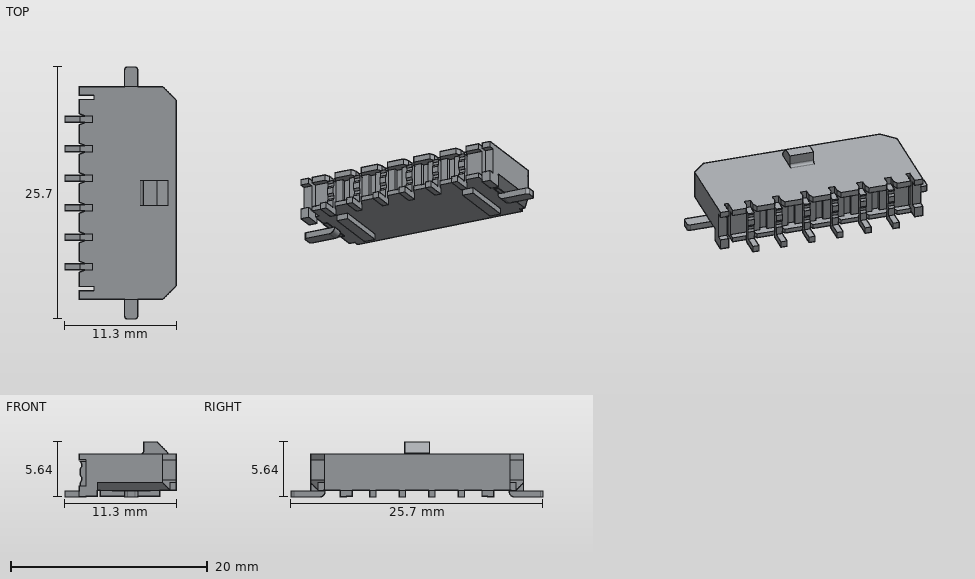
import cadquery as cq


body_length = 9.9
body_width = 21.65
body_bottom = 0.69
body_top = 4.40
half_width = body_width / 2
corner_cut = 1.4
edge_bevel = 0.79

lip_thickness = 0.6
recess_top = body_top - lip_thickness
recess_bottom = 1.16
recess_depth = 0.7
foot_width = 0.9
foot_length = 1.86
foot_bottom = 0.08

side_slot_width = 0.4
side_slot_depth = 1.5
side_slot_step = 0.1
side_slot_step_bottom = 2.78
side_slot_slope_bottom = 3.48

pin_count = 6
pin_pitch = 3.0
pin_size = 0.65
pin_reach = 1.45
pin_top = 3.64
pin_face = 0.1
pin_depth = 1.35
pin_foot_end = 0.7
groove_bottoms = (1.47, 2.87)
groove_height = 0.78
groove_depth = 0.15
groove_slope = 0.24
notch_half_mouth = 0.57
notch_depth = 0.6
panel_width = 0.77
panel_depth = 0.4

latch_start = 6.56
latch_width = 2.55
latch_top = 5.64
latch_flat = 1.36
latch_length = 2.48
latch_fillet = 0.3

overall_width = 25.65
tab_start = 4.62
tab_width = 1.35
tab_thickness = 0.65
tab_corner_radius = 0.3
tab_inner_end = 9.35
tab_bend_radius = 0.6
pad_start = 3.38
pad_length = 3.82
pad_thickness = 0.07
pad_inner_end = 9.55
rib_start = 2.15
rib_length = 6.07
rib_width = 1.2
rib_inner_end = 6.58

pocket_bottom = 1.77
floor_pocket_length = 0.63

pin_positions = [(i - (pin_count - 1) / 2) * pin_pitch for i in range(pin_count)]


def block(x0, x1, y0, y1, z0, z1):
    return cq.Workplane("XY").box(x1 - x0, y1 - y0, z1 - z0, centered=False).translate((x0, y0, z0))


def extrude_along_y(points, y0, y1):
    """Prism from an (x, z) outline spanning y0 to y1."""
    return cq.Workplane("XZ", origin=(0, y1, 0)).polyline(points).close().extrude(y1 - y0)


def both_ends(shape):
    """The shape together with its mirror image across Y = 0."""
    return shape.union(shape.mirror("XZ"))


def make_shell():
    shell = block(0, body_length, -half_width, half_width, body_bottom, body_top)
    shell = shell.edges("|Z and >X").chamfer(corner_cut)
    bevel = (
        cq.Workplane("YZ")
        .polyline(
            [
                (half_width, body_bottom),
                (half_width, body_bottom + edge_bevel),
                (half_width - edge_bevel, body_bottom),
            ]
        )
        .close()
        .extrude(body_length)
    )
    return shell.cut(both_ends(bevel))


def make_feet():
    foot = block(0, foot_length, half_width - foot_width, half_width, foot_bottom, recess_bottom)
    wall = block(0, foot_length, half_width - foot_width, half_width, recess_bottom, recess_top)
    return both_ends(foot.union(wall))


def cut_rear_recess(body):
    return body.cut(block(0, recess_depth, -half_width, half_width, recess_bottom, recess_top))


def make_side_slots():
    outer = half_width - foot_width
    inner = outer - side_slot_width
    slot = block(0, side_slot_depth, inner, outer, body_bottom, body_top)
    step_back = side_slot_depth + side_slot_step
    slope_run = recess_top - side_slot_slope_bottom
    stepped_back = extrude_along_y(
        [
            (side_slot_depth, side_slot_step_bottom),
            (step_back, side_slot_step_bottom),
            (step_back, side_slot_slope_bottom),
            (step_back + slope_run, recess_top),
            (side_slot_depth, recess_top),
        ],
        inner,
        outer,
    )
    return both_ends(slot.union(stepped_back))


def make_pin_notch(y):
    """Flared notch through both lips, with a straight slot above the pin."""
    half_pin = pin_size / 2
    flare = (
        cq.Workplane("XY", origin=(0, y, body_bottom))
        .polyline(
            [
                (0, -notch_half_mouth),
                (notch_depth, -half_pin),
                (notch_depth, half_pin),
                (0, notch_half_mouth),
            ]
        )
        .close()
        .extrude(body_top - body_bottom)
    )
    slot = block(0, pin_depth, y - half_pin, y + half_pin, pin_top, body_top)
    return flare.union(slot)


def make_panel(y):
    """Deeper panel in the recess wall, midway between two pins."""
    back = recess_depth + panel_depth
    return block(recess_depth, back, y - panel_width / 2, y + panel_width / 2, recess_bottom, recess_top)


def make_pin(y):
    y0 = y - pin_size / 2
    y1 = y + pin_size / 2
    foot = block(-pin_reach, pin_foot_end, y0, y1, 0, pin_size)
    outline = [(pin_depth, body_bottom), (pin_foot_end, body_bottom), (pin_foot_end, 0), (pin_face, 0)]
    groove_floor = pin_face + groove_depth
    for bottom in groove_bottoms:
        top = bottom + groove_height
        outline += [
            (pin_face, bottom),
            (groove_floor, bottom + groove_slope),
            (groove_floor, top - groove_slope),
            (pin_face, top),
        ]
    outline += [(pin_depth, pin_top)]
    return foot.union(extrude_along_y(outline, y0, y1))


def make_latch():
    ramp_start = latch_start + latch_flat
    latch_end = latch_start + latch_length
    half_latch = latch_width / 2
    ramp = extrude_along_y(
        [
            (latch_start, body_top),
            (latch_start, latch_top),
            (ramp_start, latch_top),
            (latch_end, latch_top - (latch_end - ramp_start)),
            (latch_end, body_top),
        ],
        -half_latch,
        half_latch,
    )
    fillet = (
        cq.Workplane("XZ", origin=(0, half_latch, 0))
        .moveTo(latch_start - latch_fillet, body_top)
        .lineTo(latch_start, body_top)
        .lineTo(latch_start, body_top + latch_fillet)
        .radiusArc((latch_start - latch_fillet, body_top), latch_fillet)
        .close()
        .extrude(latch_width)
    )
    return ramp.union(fillet)


def make_solder_tabs():
    tab = block(tab_start, tab_start + tab_width, tab_inner_end, overall_width / 2, 0, tab_thickness)
    tab = tab.edges("<Y and <Z").fillet(tab_bend_radius)
    tab = tab.edges("|Z and >Y").fillet(tab_corner_radius)
    return both_ends(tab)


def make_floor_parts():
    pad = block(
        pad_start,
        pad_start + pad_length,
        pad_inner_end,
        half_width - edge_bevel,
        body_bottom - pad_thickness,
        body_bottom,
    )
    rib = block(
        rib_start, rib_start + rib_length, rib_inner_end, rib_inner_end + rib_width, foot_bottom, body_bottom
    )
    return both_ends(pad.union(rib))


def make_corner_pockets():
    """Square pockets in the cut front corners, one mid-height and one at the floor."""
    y0 = half_width - corner_cut
    main = block(body_length - corner_cut, body_length, y0, half_width, pocket_bottom, recess_top)
    floor = block(
        body_length - floor_pocket_length, body_length, y0, half_width, body_bottom, body_bottom + edge_bevel
    )
    return both_ends(main.union(floor))


body = make_shell().union(make_feet())
body = cut_rear_recess(body)
body = body.cut(make_side_slots())
body = body.cut(make_corner_pockets())
for y in pin_positions:
    body = body.cut(make_pin_notch(y))
for y in pin_positions[:-1]:
    body = body.cut(make_panel(y + pin_pitch / 2))
body = body.union(make_latch()).union(make_solder_tabs()).union(make_floor_parts())
for y in pin_positions:
    body = body.union(make_pin(y))

result = body